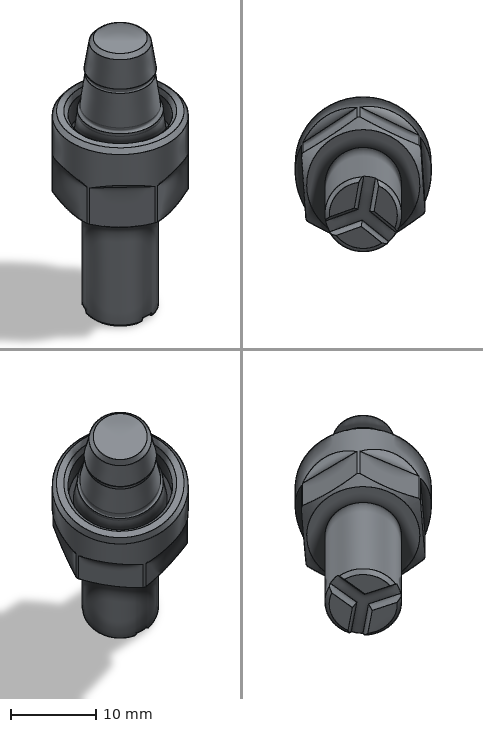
import cadquery as cq
import math

TOTAL_HEIGHT = 38.6
NUT_BOTTOM = 16.1
NUT_HEIGHT = 12.0
NUT_TOP = NUT_BOTTOM + NUT_HEIGHT

STEM_RADIUS = 9.0 / 2
STEM_CHAMFER = 0.5
COLLAR_BOTTOM = 21.25
COLLAR_TOP = 24.5
NOTCH_COUNT = 3
NOTCH_FIRST_ANGLE = 30.0
NOTCH_DEPTH = 0.93
NOTCH_FLOOR_WIDTH = 1.4
NOTCH_MOUTH_WIDTH = 2.35

NUT_RADIUS = 16.0 / 2
NUT_TOP_CHAMFER_RADIAL = 0.5
NUT_TOP_CHAMFER_HEIGHT = 0.6
BORE_RADIUS = 12.25 / 2
BORE_MOUTH_RADIUS = 13.25 / 2
HEX_SIDES = 6
HEX_WIDTH = 14.0
HEX_TOP = 22.1
HEX_FLAT_ANGLE = 46.5
HEX_RUNOUT_ANGLE = 45.0
NUT_BOTTOM_RADIUS = 6.65
NUT_BOTTOM_CHAMFER_ANGLE = 30.0

PLUG_BASE_RADIUS = 11.0 / 2
STEP_RADIUS = 5.05
STEP_BOTTOM = 28.05
STEP_TOP = 28.4
STEP_FILLET_TOP = 29.05
STEP_FILLET_RADIAL_SHARE = 0.25
STEP_FILLET_HEIGHT_SHARE = 0.35
MIDDLE_BOTTOM_RADIUS = 9.5 / 2
MIDDLE_TOP_RADIUS = 4.15
GROOVE_BOTTOM = 33.55
GROOVE_TOP = 34.25
GROOVE_MID_RADIUS = 4.0
TIP_BOTTOM_RADIUS = 4.25
TIP_TOP_RADIUS = 3.65
TIP_CHAMFER_HEIGHT = 0.55
TIP_FACE_RADIUS = 3.15


def revolve_profile(profile):
    """Revolve a closed (radius, height) profile drawn on XZ about the Z axis."""
    return profile.close().revolve(360, (0, 0, 0), (0, 1, 0))


def make_notch(angle):
    """Trapezoidal notch that runs outward from the stem axis at the given angle."""
    return (
        cq.Workplane("YZ")
        .moveTo(-NOTCH_MOUTH_WIDTH / 2, 0)
        .lineTo(NOTCH_MOUTH_WIDTH / 2, 0)
        .lineTo(NOTCH_FLOOR_WIDTH / 2, NOTCH_DEPTH)
        .lineTo(-NOTCH_FLOOR_WIDTH / 2, NOTCH_DEPTH)
        .close()
        .extrude(2 * STEM_RADIUS)
        .rotate((0, 0, 0), (0, 0, 1), angle)
    )


def make_stem():
    """Round stem with a chamfered, notched lower end and a collar at the top."""
    stem = cq.Workplane("XY").circle(STEM_RADIUS).extrude(COLLAR_TOP)
    stem = stem.faces("<Z").chamfer(STEM_CHAMFER)
    collar = (
        cq.Workplane("XY")
        .workplane(offset=COLLAR_BOTTOM)
        .circle(BORE_RADIUS)
        .extrude(COLLAR_TOP - COLLAR_BOTTOM)
    )
    stem = stem.union(collar)
    for index in range(NOTCH_COUNT):
        stem = stem.cut(make_notch(NOTCH_FIRST_ANGLE + index * 360 / NOTCH_COUNT))
    return stem


def make_flat_cutter(angle):
    """Cutter for one hex flat, with a sloping run-out above it."""
    flat_distance = HEX_WIDTH / 2
    outer_distance = 2 * NUT_RADIUS
    runout_height = (outer_distance - flat_distance) / math.tan(math.radians(HEX_RUNOUT_ANGLE))
    return (
        cq.Workplane("XZ")
        .moveTo(flat_distance, NUT_BOTTOM)
        .lineTo(outer_distance, NUT_BOTTOM)
        .lineTo(outer_distance, HEX_TOP + runout_height)
        .lineTo(flat_distance, HEX_TOP)
        .close()
        .extrude(NUT_RADIUS, both=True)
        .rotate((0, 0, 0), (0, 0, 1), angle)
    )


def make_nut():
    """Union nut: round upper part, hex lower part, bore that holds the collar."""
    bottom_chamfer_height = (NUT_RADIUS - NUT_BOTTOM_RADIUS) * math.tan(
        math.radians(NUT_BOTTOM_CHAMFER_ANGLE)
    )
    mouth_chamfer = BORE_MOUTH_RADIUS - BORE_RADIUS
    nut = revolve_profile(
        cq.Workplane("XZ")
        .moveTo(STEM_RADIUS, NUT_BOTTOM)
        .lineTo(NUT_BOTTOM_RADIUS, NUT_BOTTOM)
        .lineTo(NUT_RADIUS, NUT_BOTTOM + bottom_chamfer_height)
        .lineTo(NUT_RADIUS, NUT_TOP - NUT_TOP_CHAMFER_HEIGHT)
        .lineTo(NUT_RADIUS - NUT_TOP_CHAMFER_RADIAL, NUT_TOP)
        .lineTo(BORE_MOUTH_RADIUS, NUT_TOP)
        .lineTo(BORE_RADIUS, NUT_TOP - mouth_chamfer)
        .lineTo(BORE_RADIUS, COLLAR_BOTTOM)
        .lineTo(STEM_RADIUS, COLLAR_BOTTOM)
    )
    for index in range(HEX_SIDES):
        nut = nut.cut(make_flat_cutter(HEX_FLAT_ANGLE + index * 360 / HEX_SIDES))
    return nut


def make_plug():
    """Solid tapered plug standing on the collar, with a step and a round groove."""
    step_mid_radius = MIDDLE_BOTTOM_RADIUS + STEP_FILLET_RADIAL_SHARE * (STEP_RADIUS - MIDDLE_BOTTOM_RADIUS)
    step_mid_height = STEP_TOP + STEP_FILLET_HEIGHT_SHARE * (STEP_FILLET_TOP - STEP_TOP)
    return revolve_profile(
        cq.Workplane("XZ")
        .moveTo(0, COLLAR_TOP)
        .lineTo(PLUG_BASE_RADIUS, COLLAR_TOP)
        .lineTo(STEP_RADIUS, STEP_BOTTOM)
        .lineTo(STEP_RADIUS, STEP_TOP)
        .threePointArc((step_mid_radius, step_mid_height), (MIDDLE_BOTTOM_RADIUS, STEP_FILLET_TOP))
        .lineTo(MIDDLE_TOP_RADIUS, GROOVE_BOTTOM)
        .threePointArc(
            (GROOVE_MID_RADIUS, (GROOVE_BOTTOM + GROOVE_TOP) / 2),
            (TIP_BOTTOM_RADIUS, GROOVE_TOP),
        )
        .lineTo(TIP_TOP_RADIUS, TOTAL_HEIGHT - TIP_CHAMFER_HEIGHT)
        .lineTo(TIP_FACE_RADIUS, TOTAL_HEIGHT)
        .lineTo(0, TOTAL_HEIGHT)
    )


stem = make_stem()
nut = make_nut()
plug = make_plug()

result = cq.Compound.makeCompound([stem.val(), nut.val(), plug.val()])